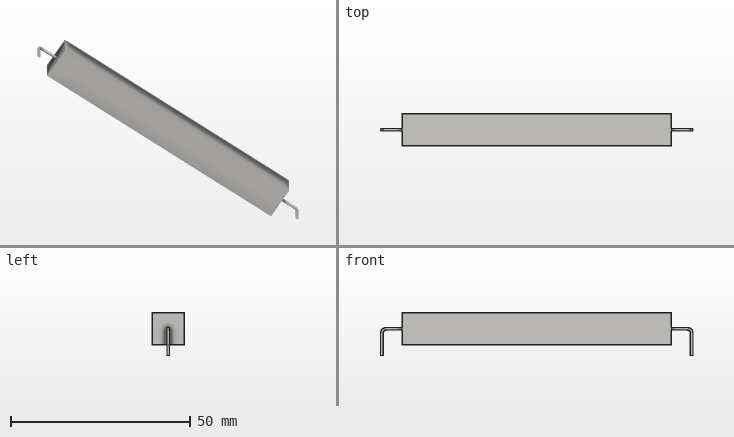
import cadquery as cq

body_length = 75.0
body_width = 9.0
body_height = 9.0

lead_diameter = 0.8
lead_pitch = 86.36
lead_depth = 3.0
bend_radius = 1.2

lead_height = body_height / 2
leg_x = lead_pitch / 2


def make_body():
    return cq.Workplane("XY").box(
        body_length, body_width, body_height, centered=(True, True, False)
    )


def make_lead(side):
    """Wire leaving one end of the body and bending down; side is -1 or +1."""
    exit_x = side * body_length / 2
    bend_start = (side * (leg_x - bend_radius), lead_height)
    bend_end = (side * leg_x, lead_height - bend_radius)
    path = (
        cq.Workplane("XZ")
        .moveTo(exit_x, lead_height)
        .lineTo(*bend_start)
        .tangentArcPoint(bend_end, relative=False)
        .lineTo(side * leg_x, -lead_depth)
    )
    return (
        cq.Workplane("YZ", origin=(exit_x, 0, lead_height))
        .circle(lead_diameter / 2)
        .sweep(path)
    )


result = make_body()
for side in (-1, 1):
    result = result.union(make_lead(side))